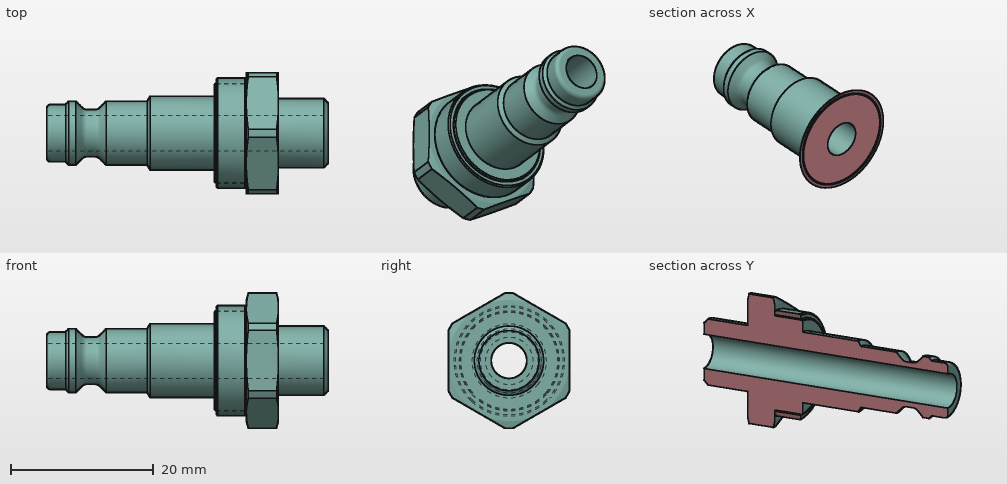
import cadquery as cq
import math


bore_diameter = 4.95
tip_diameter = 8.1
tip_round = 0.6
collar_start = 2.65
collar_diameter = 9.0

groove_start = 4.08
groove_end = 8.35
groove_diameter = 6.65
groove_fillet = 1.0
groove_wall_angle = 45.0

shank_start = 14.1
shank_diameter = 10.4
shank_chamfer_angle = 30.0

lip_start = 23.5
lip_diameter = 14.0
lip_chamfer = 0.2
seat_start = 23.8
seat_diameter = 13.85

hex_sides = 6
hex_start = 28.0
hex_end = 32.5
across_flats = 17.0
across_corners = 19.0
hex_face_diameter = across_flats
hex_chamfer_angle = 15.0

overall_length = 39.5
stub_diameter = 9.73
stub_chamfer = 0.65

sleeve_diameter = 15.5
sleeve_bore_diameter = 14.05
sleeve_chamfer = 0.2


def revolve_about_x(profile):
    """Turn a closed half profile (X, radius) around the X axis."""
    return profile.close().revolve(360, (0, 0, 0), (1, 0, 0))


def arc_reach(radius, angle):
    """Axial length and radial rise of an arc that starts level and turns by angle degrees."""
    turn = math.radians(angle)
    return radius * math.sin(turn), radius * (1 - math.cos(turn))


def make_turned_core():
    """Solid of revolution for everything on the fitting except the hexagon."""
    tip_r = tip_diameter / 2
    collar_r = collar_diameter / 2
    groove_r = groove_diameter / 2
    shank_r = shank_diameter / 2
    lip_r = lip_diameter / 2
    stub_r = stub_diameter / 2

    round_mid = tip_round * (1 - math.sqrt(0.5))

    fillet_length, fillet_rise = arc_reach(groove_fillet, groove_wall_angle)
    half_length, half_rise = arc_reach(groove_fillet, groove_wall_angle / 2)
    wall_height = collar_r - groove_r - fillet_rise
    wall_length = wall_height / math.tan(math.radians(groove_wall_angle))
    front_wall_end = groove_start + wall_length
    floor_start = front_wall_end + fillet_length
    rear_wall_start = groove_end - wall_length
    floor_end = rear_wall_start - fillet_length

    shoulder_length = (shank_r - collar_r) * math.tan(math.radians(shank_chamfer_angle))

    profile = (
        cq.Workplane("XY")
        .moveTo(0, 0)
        .lineTo(0, tip_r - tip_round)
        .threePointArc((round_mid, tip_r - round_mid), (tip_round, tip_r))
        .lineTo(collar_start, tip_r)
        .lineTo(collar_start + collar_r - tip_r, collar_r)
        .lineTo(groove_start, collar_r)
        .lineTo(front_wall_end, groove_r + fillet_rise)
        .threePointArc(
            (floor_start - half_length, groove_r + half_rise),
            (floor_start, groove_r),
        )
        .lineTo(floor_end, groove_r)
        .threePointArc(
            (floor_end + half_length, groove_r + half_rise),
            (rear_wall_start, groove_r + fillet_rise),
        )
        .lineTo(groove_end, collar_r)
        .lineTo(shank_start, collar_r)
        .lineTo(shank_start + shoulder_length, shank_r)
        .lineTo(lip_start, shank_r)
        .lineTo(lip_start, lip_r - lip_chamfer)
        .lineTo(lip_start + lip_chamfer, lip_r)
        .lineTo(seat_start, lip_r)
        .lineTo(seat_start, seat_diameter / 2)
        .lineTo(hex_start, seat_diameter / 2)
        .lineTo(hex_start, stub_r)
        .lineTo(overall_length - stub_chamfer, stub_r)
        .lineTo(overall_length, stub_r - stub_chamfer)
        .lineTo(overall_length, 0)
    )
    return revolve_about_x(profile)


def make_hexagon():
    """Hexagon with corners up and down, rounded and chamfered at both ends."""
    sharp_corners = across_flats / math.cos(math.pi / hex_sides)
    prism = (
        cq.Workplane("YZ", origin=(hex_start, 0, 0))
        .transformed(rotate=(0, 0, 90))
        .polygon(hex_sides, sharp_corners)
        .extrude(hex_end - hex_start)
    )
    face_r = hex_face_diameter / 2
    corner_r = across_corners / 2
    chamfer_length = (corner_r - face_r) * math.tan(math.radians(hex_chamfer_angle))
    envelope = revolve_about_x(
        cq.Workplane("XY")
        .moveTo(hex_start, 0)
        .lineTo(hex_start, face_r)
        .lineTo(hex_start + chamfer_length, corner_r)
        .lineTo(hex_end - chamfer_length, corner_r)
        .lineTo(hex_end, face_r)
        .lineTo(hex_end, 0)
    )
    return prism.intersect(envelope)


def make_fitting():
    """Turned core and hexagon in one piece, bored through."""
    bore = cq.Workplane("YZ").circle(bore_diameter / 2).extrude(overall_length)
    return make_turned_core().union(make_hexagon()).cut(bore).solids()


def make_sleeve():
    """Ring around the seat, with a slight running clearance, resting against the hexagon."""
    return (
        cq.Workplane("YZ", origin=(seat_start, 0, 0))
        .circle(sleeve_diameter / 2)
        .extrude(hex_start - seat_start)
        .faces("<X or >X")
        .chamfer(sleeve_chamfer)
        .faces("<X")
        .workplane()
        .circle(sleeve_bore_diameter / 2)
        .cutThruAll()
        .solids()
    )


fitting = make_fitting()
sleeve = make_sleeve()

result = cq.Compound.makeCompound([fitting.val(), sleeve.val()])